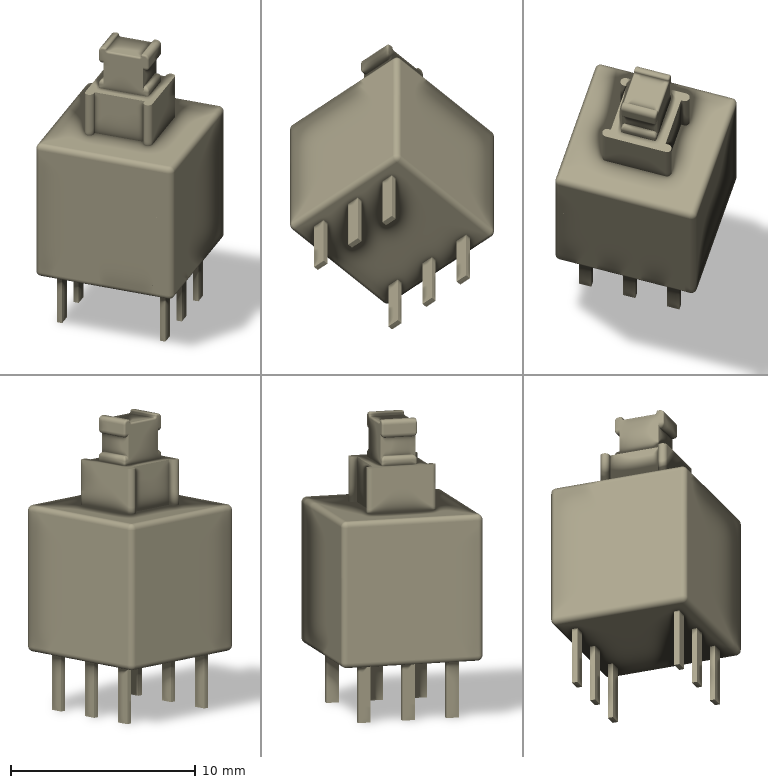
import cadquery as cq


housing_width = 8.0
base_height = 5.0
cover_height = 3.1
housing_round = 0.3
housing_top = base_height + cover_height

clip_thickness = 0.5
clip_height = 4.5
clip_foot_height = 2.25
clip_foot_width = 5.8
clip_stem_width = 3.25
clip_corner_round = 0.5
clip_bottom = base_height - clip_height

pin_thickness = 0.3
pin_width = 0.7
pin_length = 3.2
pin_row_spacing = 6.0
pin_pitch = 2.5
pins_per_row = 3

stem_width = 3.9
stem_height = 2.5
ear_thickness = 0.5
stem_web_depth = 3.1
stem_top = housing_top + stem_height

head_width = 2.9
head_depth = 2.0
head_height = 2.5
neck_width = 2.3
lower_flange_height = 0.5
upper_flange_height = 1.0
flange_round = 0.25
edge_round = 0.1
rim_land = 0.1
rim_round = 0.1
rim_height = 2 * rim_round
head_top = stem_top + head_height
upper_flange_bottom = head_top - upper_flange_height


def block(width, depth, height, bottom):
    """Box centred on the Z axis, standing on the given level."""
    return cq.Workplane("XY").box(width, depth, height, centered=(True, True, False)).translate((0, 0, bottom))


def make_clip():
    foot = (
        block(clip_foot_width, clip_thickness, clip_foot_height, clip_bottom)
        .edges("|Y and <Z")
        .fillet(clip_corner_round)
    )
    stem = block(
        clip_stem_width,
        clip_thickness,
        clip_height - clip_foot_height,
        clip_bottom + clip_foot_height,
    )
    clip_center_y = (clip_thickness - housing_width) / 2
    return foot.union(stem).translate((0, clip_center_y, 0))


def make_base(clip):
    """Lower housing with the clip recess and two rows of pins."""
    body = (
        block(housing_width, housing_width, base_height, 0)
        .edges("|Z or <Z")
        .fillet(housing_round)
        .cut(clip)
    )
    pins = (
        cq.Workplane("XY")
        .rarray(pin_row_spacing, pin_pitch, 2, pins_per_row)
        .rect(pin_thickness, pin_width)
        .extrude(-pin_length)
    )
    return body.union(pins)


def make_cover():
    return (
        block(housing_width, housing_width, cover_height, base_height)
        .edges("|Z or >Z")
        .fillet(housing_round)
    )


def make_stem():
    """Block with an H-shaped plan; the ear ends are half round."""
    stem = block(stem_width, stem_web_depth, stem_height, housing_top)
    for side in (-1, 1):
        ear_x = side * (stem_width - ear_thickness) / 2
        ear = (
            cq.Workplane("XY", origin=(ear_x, 0, housing_top))
            .slot2D(stem_width, ear_thickness, 90)
            .extrude(stem_height)
        )
        stem = stem.union(ear)
    return stem


def make_lower_flange():
    return (
        block(head_width, head_depth, lower_flange_height, stem_top)
        .edges(">Z")
        .fillet(flange_round)
        .edges("|Z")
        .fillet(edge_round)
    )


def make_upper_flange():
    """Flange with a raised rim along each side; its outline runs in an S curve from rim to floor."""
    half_width = head_width / 2
    rim_start = half_width - flange_round
    rim_end = rim_start - rim_land
    step_x = rim_end - rim_round
    floor_edge = step_x - rim_round
    step_z = head_top - rim_round
    floor_z = head_top - rim_height
    shoulder_z = head_top - flange_round
    flange = (
        cq.Workplane("XZ", origin=(0, head_depth / 2, 0))
        .moveTo(-half_width, upper_flange_bottom)
        .lineTo(half_width, upper_flange_bottom)
        .lineTo(half_width, shoulder_z)
        .radiusArc((rim_start, head_top), -flange_round)
        .lineTo(rim_end, head_top)
        .radiusArc((step_x, step_z), -rim_round)
        .radiusArc((floor_edge, floor_z), rim_round)
        .lineTo(-floor_edge, floor_z)
        .radiusArc((-step_x, step_z), rim_round)
        .radiusArc((-rim_end, head_top), -rim_round)
        .lineTo(-rim_start, head_top)
        .radiusArc((-half_width, shoulder_z), -flange_round)
        .close()
        .extrude(head_depth)
    )
    flange = flange.edges("<Z").fillet(flange_round)
    return flange.faces("<Y or >Y").edges("not <Z").fillet(edge_round)


def make_button():
    """Stem and head of the push button as one piece."""
    neck_height = upper_flange_bottom + flange_round - stem_top
    neck = block(neck_width, head_depth, neck_height, stem_top)
    return make_stem().union(make_lower_flange()).union(neck).union(make_upper_flange())


clip = make_clip()
base = make_base(clip)
cover = make_cover()
button = make_button()

result = cq.Compound.makeCompound([base.val(), clip.val(), cover.val(), button.val()])